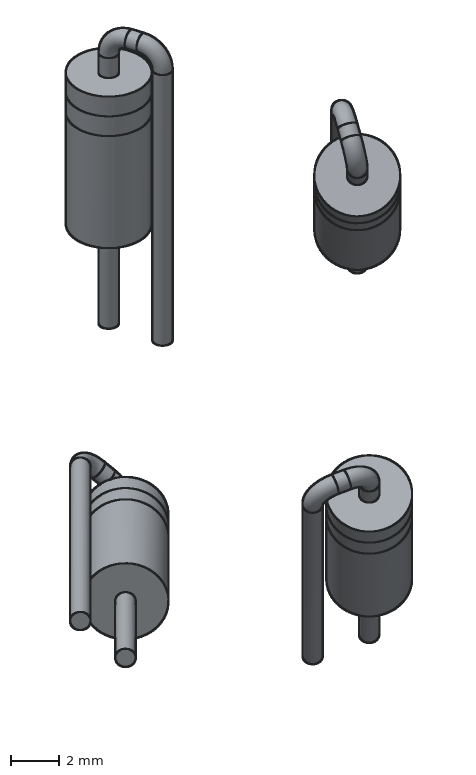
import cadquery as cq

total_height = 15.05
body_diameter = 3.57
wire_diameter = 0.86
lead_pitch = 2.55
bend_radius = 1.0

body_bottom = 5.0
body_top = 12.63
band_width = 1.0
end_cap_height = 1.0

band_top = body_top - end_cap_height
band_bottom = band_top - band_width
bridge_height = total_height - wire_diameter / 2
bend_start = bridge_height - bend_radius


def cylinder(diameter, bottom, top, x=0.0):
    """Vertical cylinder between two heights."""
    return (
        cq.Workplane("XY", origin=(x, 0, bottom))
        .circle(diameter / 2)
        .extrude(top - bottom)
    )


def wire_bend(x, direction):
    """Quarter-turn bend from a vertical lead at x; direction +1 or -1 turns it toward +X or -X."""
    center_offset = direction * bend_radius
    return (
        cq.Workplane("XY", origin=(x, 0, bend_start))
        .circle(wire_diameter / 2)
        .revolve(90, (center_offset, 0), (center_offset, direction))
    )


main_body = cylinder(body_diameter, body_bottom, band_bottom)
marking_band = cylinder(body_diameter, band_bottom, band_top)
end_cap = cylinder(body_diameter, band_top, body_top)

lower_lead = cylinder(wire_diameter, 0, body_bottom)
upper_lead = cylinder(wire_diameter, body_top, bend_start)
return_lead = cylinder(wire_diameter, 0, bend_start, lead_pitch)

bends = [wire_bend(x, direction) for x, direction in ((0, 1), (lead_pitch, -1))]
bridge = (
    cq.Workplane("YZ", origin=(bend_radius, 0, bridge_height))
    .circle(wire_diameter / 2)
    .extrude(lead_pitch - 2 * bend_radius)
)

result = cq.Compound.makeCompound([
    main_body.val(),
    marking_band.val(),
    end_cap.val(),
    lower_lead.val(),
    upper_lead.val(),
    return_lead.val(),
    *[bend.val() for bend in bends],
    bridge.val(),
])